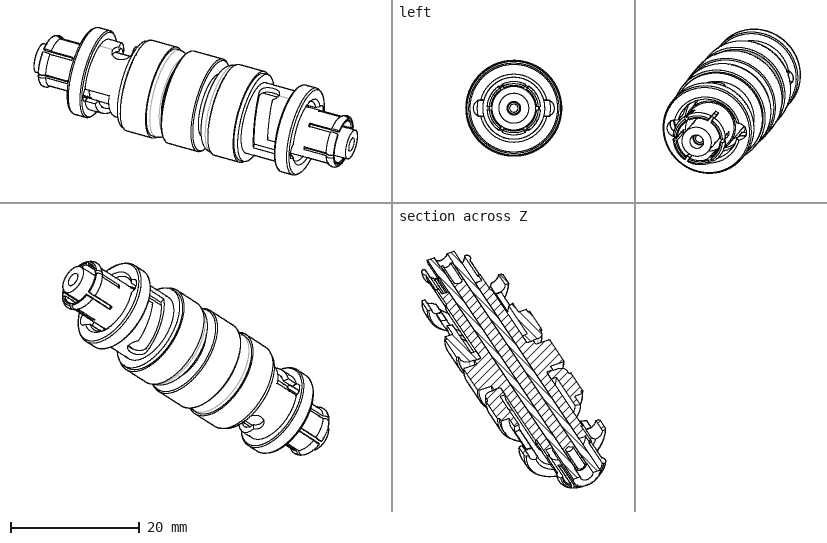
import cadquery as cq
import math

HALF_LENGTH = 26.45

INSULATOR_RADIUS = 2.35
PIN_RADIUS = 1.05
PIN_TIP_DEPTH = 2.1
PIN_CHAMFER = 0.15
PIN_SOCKET_RADIUS = 0.65
PIN_SOCKET_LENGTH = 4.25
DRILL_POINT_ANGLE = 118.0

SOCKET_RADIUS = 3.4
SOCKET_DEPTH = 7.6
SOCKET_CHAMFER = 0.15
BARREL_RADIUS = 3.8
BARREL_TIP_DEPTH = 1.4
BEAD_RADIUS = 8.3 / 2
BEAD_LENGTH = 1.25
SHANK_DEPTH = 10.1
SHANK_RADIUS = 4.0
NECK_RADIUS = 10.2 / 2
COLLAR_RADIUS = 7.45
COLLAR_LENGTH = 5.4
COLLAR_CHAMFER = 0.2
CONTACT_SLOT_COUNT = 6
CONTACT_SLOT_WIDTH = 0.55
CONTACT_SLOT_END_DEPTH = 6.35

NUT_FRONT_DEPTH = 7.6
NUT_REAR_DEPTH = 22.85
NUT_BORE_RADIUS = 4.8
NUT_MOUTH_RADIUS = 5.3
NUT_MOUTH_CHAMFER_LENGTH = 0.55
NUT_BACK_WALL = 1.7
FLANGE_RADIUS = 14.0 / 2
FLANGE_LENGTH = 2.5
FLANGE_CHAMFER_LENGTH = 0.3
FLANGE_CHAMFER_DROP = 0.2
SLEEVE_RADIUS = 11.35 / 2
GRIP_FRONT_DEPTH = 16.25
GRIP_RADIUS = 14.65 / 2
GRIP_BAND_START_DEPTH = 16.9
GRIP_BAND_LENGTH = 4.3
GRIP_FILLET = 1.1

FLANGE_GROOVE_RADIUS = 1.3
FLANGE_GROOVE_OFFSET = 4.95
ENTRY_WIDTH = 2.4
RAMP_WIDTH = 2.35
RAMP_ANGLE = 14.0
LOCK_HOLE_RADIUS = 1.6
LOCK_HOLE_DEPTH = 13.95


def station(depth):
    """X position of a depth measured from the -X end face."""
    return depth - HALF_LENGTH


def cylinder(radius, start, end):
    """Round bar about the X axis between two X positions."""
    return cq.Workplane("YZ", origin=(start, 0, 0)).circle(radius).extrude(end - start)


def revolve_about_x(profile):
    return profile.close().revolve(360, (0, 0, 0), (1, 0, 0))


def turned_around(shape):
    """The same shape at the opposite end of the adapter."""
    return shape.rotate((0, 0, 0), (0, 0, 1), 180)


def both_ends(shape):
    return [shape, turned_around(shape)]


def make_pin_socket():
    """Blind hole in the -X end of the pin, drilled with a conical bottom."""
    mouth = station(PIN_TIP_DEPTH)
    floor = mouth + PIN_SOCKET_LENGTH
    point_length = PIN_SOCKET_RADIUS / math.tan(math.radians(DRILL_POINT_ANGLE / 2))
    return revolve_about_x(
        cq.Workplane("XZ")
        .moveTo(mouth, 0)
        .lineTo(mouth, PIN_SOCKET_RADIUS)
        .lineTo(floor, PIN_SOCKET_RADIUS)
        .lineTo(floor + point_length, 0)
    )


def make_pin():
    pin = cylinder(PIN_RADIUS, station(PIN_TIP_DEPTH), -station(PIN_TIP_DEPTH))
    pin = pin.faces("<X or >X").chamfer(PIN_CHAMFER)
    for socket in both_ends(make_pin_socket()):
        pin = pin.cut(socket)
    return pin


def make_insulator():
    insulator = cylinder(INSULATOR_RADIUS, -HALF_LENGTH, HALF_LENGTH)
    return insulator.cut(cylinder(PIN_RADIUS, -HALF_LENGTH, HALF_LENGTH))


def make_socket():
    """Bore of the barrel round the insulator, chamfered at its mouth."""
    tip = station(BARREL_TIP_DEPTH)
    floor = station(SOCKET_DEPTH)
    return revolve_about_x(
        cq.Workplane("XZ")
        .moveTo(tip, 0)
        .lineTo(tip, SOCKET_RADIUS + SOCKET_CHAMFER)
        .lineTo(tip + SOCKET_CHAMFER, SOCKET_RADIUS)
        .lineTo(floor, SOCKET_RADIUS)
        .lineTo(floor, 0)
    )


def make_barrel():
    """One end of the body, from the beaded tip to the middle plane."""
    tip = station(BARREL_TIP_DEPTH)
    shank = station(SHANK_DEPTH)
    neck = station(NUT_REAR_DEPTH)
    return revolve_about_x(
        cq.Workplane("XZ")
        .moveTo(tip, 0)
        .lineTo(tip, BARREL_RADIUS)
        .threePointArc((tip + BEAD_LENGTH / 2, BEAD_RADIUS), (tip + BEAD_LENGTH, BARREL_RADIUS))
        .lineTo(shank, BARREL_RADIUS)
        .lineTo(shank, SHANK_RADIUS)
        .lineTo(neck, SHANK_RADIUS)
        .lineTo(neck, NECK_RADIUS)
        .lineTo(0, NECK_RADIUS)
        .lineTo(0, 0)
    )


def make_contact_slots():
    """Radial slots that split the barrel tip into spring fingers, two of them facing +Y and -Y."""
    length = CONTACT_SLOT_END_DEPTH - BARREL_TIP_DEPTH
    blade = cq.Workplane("XY").box(length, 2 * COLLAR_RADIUS, CONTACT_SLOT_WIDTH)
    blade = blade.translate((station(BARREL_TIP_DEPTH) + length / 2, 0, 0))
    blade_count = CONTACT_SLOT_COUNT // 2
    return [blade.rotate((0, 0, 0), (1, 0, 0), 180 * i / blade_count) for i in range(blade_count)]


def make_body():
    collar = cylinder(COLLAR_RADIUS, -COLLAR_LENGTH / 2, COLLAR_LENGTH / 2)
    body = collar.edges().chamfer(COLLAR_CHAMFER)
    for barrel in both_ends(make_barrel()):
        body = body.union(barrel)
    body = body.cut(cylinder(INSULATOR_RADIUS, -HALF_LENGTH, HALF_LENGTH))
    for cutter in [make_socket(), *make_contact_slots()]:
        for end_cutter in both_ends(cutter):
            body = body.cut(end_cutter)
    return body


def make_nut_blank():
    """Coupling nut at the -X end as turned, before the bayonet tracks are cut."""
    front = station(NUT_FRONT_DEPTH)
    flange_back = front + FLANGE_LENGTH
    flange_edge = FLANGE_RADIUS - FLANGE_CHAMFER_DROP
    grip_front = station(GRIP_FRONT_DEPTH)
    band_start = station(GRIP_BAND_START_DEPTH)
    band_end = band_start + GRIP_BAND_LENGTH
    rear = station(NUT_REAR_DEPTH)
    fillet_middle = GRIP_FILLET * (1 - math.sqrt(0.5))
    back_wall = rear - NUT_BACK_WALL
    return revolve_about_x(
        cq.Workplane("XZ")
        .moveTo(front, NUT_MOUTH_RADIUS)
        .lineTo(front, flange_edge)
        .lineTo(front + FLANGE_CHAMFER_LENGTH, FLANGE_RADIUS)
        .lineTo(flange_back - FLANGE_CHAMFER_DROP, FLANGE_RADIUS)
        .lineTo(flange_back, flange_edge)
        .lineTo(flange_back, SLEEVE_RADIUS)
        .lineTo(grip_front, SLEEVE_RADIUS)
        .lineTo(grip_front, FLANGE_RADIUS)
        .lineTo(band_start, FLANGE_RADIUS)
        .lineTo(band_start, GRIP_RADIUS)
        .lineTo(band_end, GRIP_RADIUS)
        .lineTo(band_end, FLANGE_RADIUS)
        .lineTo(rear - GRIP_FILLET, FLANGE_RADIUS)
        .threePointArc(
            (rear - fillet_middle, FLANGE_RADIUS - fillet_middle),
            (rear, FLANGE_RADIUS - GRIP_FILLET),
        )
        .lineTo(rear, SHANK_RADIUS)
        .lineTo(back_wall, SHANK_RADIUS)
        .lineTo(back_wall, NUT_BORE_RADIUS)
        .lineTo(front + NUT_MOUTH_CHAMFER_LENGTH, NUT_BORE_RADIUS)
    )


def make_flange_groove():
    """Round notch through the flange on the +Y side."""
    front = station(NUT_FRONT_DEPTH)
    groove = cylinder(FLANGE_GROOVE_RADIUS, front, front + FLANGE_LENGTH)
    return groove.translate((0, FLANGE_GROOVE_OFFSET, 0))


def make_ramp_and_entry():
    """Straight entry slot behind the flange and the ramp that climbs from it over the sleeve."""
    slope = math.tan(math.radians(RAMP_ANGLE))
    ramp_length = RAMP_WIDTH / math.cos(math.radians(RAMP_ANGLE))
    inner_y = LOCK_HOLE_RADIUS * math.sin(math.radians(RAMP_ANGLE))
    inner_x = station(LOCK_HOLE_DEPTH) + LOCK_HOLE_RADIUS * math.cos(math.radians(RAMP_ANGLE))
    outer_y = GRIP_RADIUS
    outer_x = inner_x - (outer_y - inner_y) * slope
    ramp = (
        cq.Workplane("XY", origin=(0, 0, -ENTRY_WIDTH / 2))
        .moveTo(inner_x, inner_y)
        .lineTo(outer_x, outer_y)
        .lineTo(outer_x - ramp_length, outer_y)
        .lineTo(inner_x - ramp_length, inner_y)
        .close()
        .extrude(ENTRY_WIDTH / 2 + GRIP_RADIUS)
    )
    start_x = station(NUT_FRONT_DEPTH) + FLANGE_LENGTH
    end_x = inner_x - (SLEEVE_RADIUS - inner_y) * slope - ramp_length / 2
    entry = cq.Workplane("XY").box(end_x - start_x, outer_y, ENTRY_WIDTH, centered=(False, False, True))
    return [entry.translate((start_x, 0, 0)), ramp]


def make_lock_hole():
    """Round hole through the top of the sleeve where the stud comes to rest."""
    centre_x = station(LOCK_HOLE_DEPTH)
    return cq.Workplane("XY").center(centre_x, 0).circle(LOCK_HOLE_RADIUS).extrude(GRIP_RADIUS)


def make_nut():
    nut = make_nut_blank()
    for cutter in [make_flange_groove(), *make_ramp_and_entry(), make_lock_hole()]:
        nut = nut.cut(cutter)
        nut = nut.cut(cutter.rotate((0, 0, 0), (1, 0, 0), 180))
    return nut


pin = make_pin()
insulator = make_insulator()
body = make_body()
nuts = both_ends(make_nut())

result = cq.Compound.makeCompound(
    [pin.val(), insulator.val(), body.val(), *[nut.val() for nut in nuts]]
)